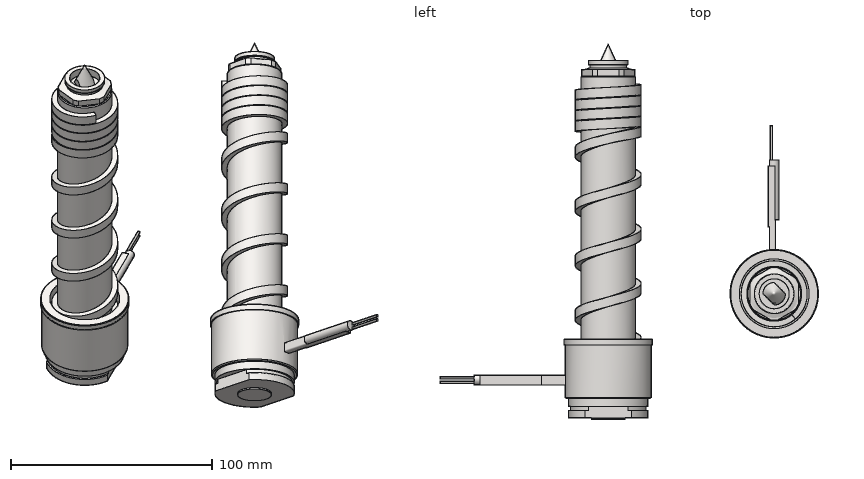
import math

import cadquery as cq

total_height = 186.3

foot_radius = 8.4
foot_height = 0.7
disc_radius = 19.7
disc_top = 4.5
groove_radius = 18.8
groove_top = 6.5
cup_bottom = 10.5
cup_radius = 21.5
cup_chamfer = 0.5
rim_radius = 22.0
rim_bottom = 37.0
cup_top = 40.0
rim_chamfer = 0.4
recess_radius = 17.3
recess_floor = 12.1
flat_distance = 16.0

tube_radius = 13.6
tube_top = 170.5
tube_chamfer = 0.5
nut_across_flats = 24.2
nut_corner_radius = 13.2
nut_top = 173.6
nut_cone_top = 174.5
neck_radius = 9.1
neck_top = 175.9
nozzle_radius = 9.9
nozzle_chamfer = 0.4
nozzle_top = 178.3
bore_radius = 7.5
bore_floor = 174.2
cone_radius = 5.5
core_flat_distance = 4.0
core_flat_angle = 45.0

spring_outer_radius = 16.4
spring_inner_radius = 13.0
strip_height = 4.8
open_pitch = 27.0
closed_pitch = 5.2
closed_turns = 4.1
blend_turns = 0.33
open_turns = 3.6
spring_top_angle = -50.0
spring_top_center = 164.3
points_per_turn = 24

lead_z = 19.5
lead_height = 5.0
lead_start = 19.5
lead_left = -2.5
lead_width = 3.2
lead_round = 0.7
sheath_start = 33.2
sheath_end = 63.5
sheath_left = -3.0
sheath_width = 3.2
sleeve_diameter = 4.8
sleeve_start = 36.7
sleeve_end = 66.5
wire_diameter = 1.3
wire_spacing = 2.2
wire_x = -1.4
wire_end = 83.5


def disc(radius, bottom, top):
    """Cylinder on the Z axis between two heights."""
    return cq.Workplane("XY").workplane(offset=bottom).circle(radius).extrude(top - bottom)


def cone(bottom_radius, top_radius, bottom, top):
    """Cone on the Z axis between two heights."""
    base_point = cq.Vector(0, 0, bottom)
    return cq.Workplane(cq.Solid.makeCone(bottom_radius, top_radius, top - bottom, pnt=base_point))


def make_base():
    """Cup with a rim, an annular spring recess and a flatted disc underneath."""
    flatted = disc(disc_radius, foot_height, disc_top).union(disc(groove_radius, disc_top, groove_top))
    flats = cq.Workplane("XY").rect(2 * flat_distance, 2 * disc_radius).extrude(groove_top)
    cup = disc(cup_radius, cup_bottom, rim_bottom).faces("<Z").chamfer(cup_chamfer)
    rim = disc(rim_radius, rim_bottom, cup_top).faces(">Z").edges().chamfer(rim_chamfer)
    recess = disc(recess_radius, recess_floor, cup_top)
    base = disc(foot_radius, 0, foot_height).union(flatted.intersect(flats))
    base = base.union(disc(disc_radius, groove_top, cup_bottom))
    return base.union(cup).union(rim).cut(recess)


def make_nut():
    """Hexagon nut with flats facing +X and -X and its corners turned round."""
    corner_diameter = nut_across_flats / math.cos(math.radians(30))
    hexagon = (
        cq.Workplane("XY")
        .workplane(offset=tube_top)
        .transformed(rotate=(0, 0, 30))
        .polygon(6, corner_diameter)
        .extrude(nut_top - tube_top)
    )
    return hexagon.intersect(disc(nut_corner_radius, tube_top, nut_top))


def make_core():
    """Pointed cone standing in the bore, with two opposite flats at its foot."""
    slab = (
        cq.Workplane("XY")
        .box(2 * core_flat_distance, 2 * cone_radius, total_height, centered=(True, True, False))
        .rotate((0, 0, 0), (0, 0, 1), core_flat_angle)
    )
    return cone(cone_radius, 0, bore_floor, total_height).intersect(slab)


def make_column():
    """Tube with the crowned nut, the grooved nozzle and the pointed core."""
    tube = disc(tube_radius, cup_bottom, tube_top).faces(">Z").chamfer(tube_chamfer)
    nozzle = disc(nozzle_radius, neck_top, nozzle_top).faces("<Z").chamfer(nozzle_chamfer)
    column = tube.union(make_nut())
    column = column.union(cone(nut_across_flats / 2, neck_radius, nut_top, nut_cone_top))
    column = column.union(disc(neck_radius, nut_top, neck_top)).union(nozzle)
    column = column.cut(disc(bore_radius, bore_floor, nozzle_top))
    return column.union(make_core())


def blend_rise(turns):
    """Rise from the closed end of a blend, where the pitch grows evenly."""
    return closed_pitch * turns + (open_pitch - closed_pitch) * turns**2 / (2 * blend_turns)


def spring_drop(turns):
    """Drop of the strip below its upper end after a number of turns."""
    blend_total = blend_rise(blend_turns)
    closed_total = closed_pitch * closed_turns
    if turns <= closed_turns:
        return closed_pitch * turns
    turns -= closed_turns
    if turns <= blend_turns:
        return closed_total + blend_rise(turns)
    turns -= blend_turns
    if turns <= open_turns:
        return closed_total + blend_total + open_pitch * turns
    turns -= open_turns
    open_total = open_pitch * open_turns
    if turns <= blend_turns:
        return closed_total + 2 * blend_total + open_total - blend_rise(blend_turns - turns)
    return closed_total + 2 * blend_total + open_total + closed_pitch * (turns - blend_turns)


def spring_section(start_turns, section_turns):
    """Solid piece of the strip, bounded by ruled faces between four coiled edges."""
    half = strip_height / 2
    corners = [
        (spring_inner_radius, -half),
        (spring_outer_radius, -half),
        (spring_outer_radius, half),
        (spring_inner_radius, half),
    ]
    steps = max(4, math.ceil(section_turns * points_per_turn))

    def point(step, radius, offset):
        turns = start_turns + section_turns * step / steps
        angle = math.radians(spring_top_angle - 360 * turns)
        height = spring_top_center - spring_drop(turns) + offset
        return cq.Vector(radius * math.cos(angle), radius * math.sin(angle), height)

    edges = [
        cq.Edge.makeSpline([point(step, radius, offset) for step in range(steps + 1)])
        for radius, offset in corners
    ]
    faces = [cq.Face.makeRuledSurface(edges[i - 1], edges[i]) for i in range(4)]
    for step in (0, steps):
        outline = cq.Wire.makePolygon([point(step, *corner) for corner in corners], close=True)
        faces.append(cq.Face.makeFromWires(outline))
    return cq.Workplane(cq.Solid.makeSolid(cq.Shell.makeShell(faces)))


def add_spring(body):
    """Join the closed, blended and open stretches of the spring to the body."""
    start = 0
    for section in (closed_turns, blend_turns, open_turns, blend_turns, closed_turns):
        body = body.union(spring_section(start, section))
        start += section
    return body


def y_rod(diameter, start, end, x, z):
    """Round rod along Y."""
    return cq.Workplane("XZ", origin=(x, start, z)).circle(diameter / 2).extrude(start - end)


def y_bar(left, width, start, end):
    """Bar along Y, of the lead height and rounded on its +X side."""
    bar = cq.Workplane("XY").box(width, end - start, lead_height, centered=(False, False, True))
    return bar.edges("|Y and >X").fillet(lead_round).translate((left, start, lead_z))


def make_lead():
    """Flat lead in its sheath, with a round sleeve and two wires."""
    lead = y_bar(lead_left, lead_width, lead_start, sheath_end)
    lead = lead.union(y_bar(sheath_left, sheath_width, sheath_start, sheath_end))
    lead = lead.union(y_rod(sleeve_diameter, sleeve_start, sleeve_end, 0, lead_z))
    for side in (-1, 1):
        wire_z = lead_z + side * wire_spacing / 2
        lead = lead.union(y_rod(wire_diameter, sheath_end, wire_end, wire_x, wire_z))
    return lead


result = add_spring(make_base().union(make_column())).union(make_lead())